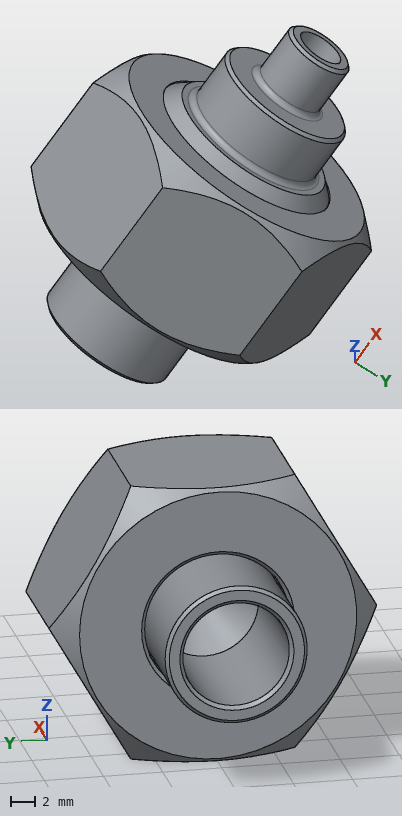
import cadquery as cq
import math

TOTAL_LENGTH = 32.0
EDGE_CHAMFER = 0.3
ROOT_FILLET = 0.5

NUT_START = 7.5
NUT_LENGTH = 13.5
ACROSS_FLATS = 24.0
NUT_FACE_DIAMETER = 23.42
NUT_WALL = 2.55
NECK_DIAMETER = 12.3
NECK_CHAMFER = 0.32
CAVITY_DIAMETER = 16.6

TUBE_DIAMETER = 12.0
TUBE_BORE = 9.0
BORE_CHAMFER = 0.32
COLLAR_LENGTH = 2.55

FLANGE_END = 22.0
FLANGE_FACE_DIAMETER = 14.25
SHOULDER_END = 27.0
SPIGOT_DIAMETER = 6.0
SPIGOT_BORE = 4.0
FUNNEL_HALF_ANGLE = 30.0

nut_end = NUT_START + NUT_LENGTH
collar_start = NUT_START + NUT_WALL
joint = collar_start + COLLAR_LENGTH


def revolve_about_x(profile):
    """Revolve a closed XY profile a full turn about the X axis."""
    return profile.close().revolve(360, (0, 0, 0), (1, 0, 0))


def rod(diameter, start, end):
    """Solid cylinder along X."""
    return cq.Workplane("YZ", origin=(start, 0, 0)).circle(diameter / 2).extrude(end - start)


def make_nut():
    corner_diameter = ACROSS_FLATS / math.cos(math.radians(30))
    hexagon = cq.Workplane("YZ", origin=(NUT_START, 0, 0)).polygon(6, corner_diameter).extrude(NUT_LENGTH)
    corner_cut = (corner_diameter - NUT_FACE_DIAMETER) / 2
    envelope = rod(corner_diameter, NUT_START, nut_end).faces("<X or >X").chamfer(corner_cut)
    neck = rod(NECK_DIAMETER, NUT_START, collar_start)
    cavity = rod(CAVITY_DIAMETER, collar_start, nut_end)
    nut = hexagon.intersect(envelope).cut(neck).cut(cavity)
    neck_mouth = cq.selectors.RadiusNthSelector(0)
    return nut.faces("<X").edges(neck_mouth).chamfer(NECK_CHAMFER)


def make_nipple():
    bore_radius = TUBE_BORE / 2
    tube_radius = TUBE_DIAMETER / 2
    collar_radius = CAVITY_DIAMETER / 2
    profile = (
        cq.Workplane("XY")
        .moveTo(BORE_CHAMFER, bore_radius)
        .lineTo(0, bore_radius + BORE_CHAMFER)
        .lineTo(0, tube_radius - EDGE_CHAMFER)
        .lineTo(EDGE_CHAMFER, tube_radius)
        .lineTo(collar_start, tube_radius)
        .lineTo(collar_start, collar_radius)
        .lineTo(joint, collar_radius)
        .lineTo(joint, bore_radius)
    )
    return revolve_about_x(profile)


def make_adapter():
    flange_radius = CAVITY_DIAMETER / 2
    face_radius = FLANGE_FACE_DIAMETER / 2
    shoulder_radius = TUBE_DIAMETER / 2
    spigot_radius = SPIGOT_DIAMETER / 2
    inlet_radius = TUBE_BORE / 2
    outlet_radius = SPIGOT_BORE / 2
    funnel_length = (inlet_radius - outlet_radius) / math.tan(math.radians(FUNNEL_HALF_ANGLE))
    taper_start = FLANGE_END - (flange_radius - face_radius)
    arc_sag = ROOT_FILLET * (1 - math.sqrt(0.5))
    profile = (
        cq.Workplane("XY")
        .moveTo(joint, inlet_radius)
        .lineTo(joint, flange_radius)
        .lineTo(taper_start, flange_radius)
        .lineTo(FLANGE_END, face_radius)
        .lineTo(FLANGE_END, shoulder_radius + ROOT_FILLET)
        .threePointArc(
            (FLANGE_END + arc_sag, shoulder_radius + arc_sag),
            (FLANGE_END + ROOT_FILLET, shoulder_radius),
        )
        .lineTo(SHOULDER_END - EDGE_CHAMFER, shoulder_radius)
        .lineTo(SHOULDER_END, shoulder_radius - EDGE_CHAMFER)
        .lineTo(SHOULDER_END, spigot_radius + ROOT_FILLET)
        .threePointArc(
            (SHOULDER_END + arc_sag, spigot_radius + arc_sag),
            (SHOULDER_END + ROOT_FILLET, spigot_radius),
        )
        .lineTo(TOTAL_LENGTH - EDGE_CHAMFER, spigot_radius)
        .lineTo(TOTAL_LENGTH, spigot_radius - EDGE_CHAMFER)
        .lineTo(TOTAL_LENGTH, outlet_radius)
        .lineTo(joint + funnel_length, outlet_radius)
    )
    return revolve_about_x(profile)


nut = make_nut()
nipple = make_nipple()
adapter = make_adapter()

result = cq.Compound.makeCompound([nut.val(), nipple.val(), adapter.val()])